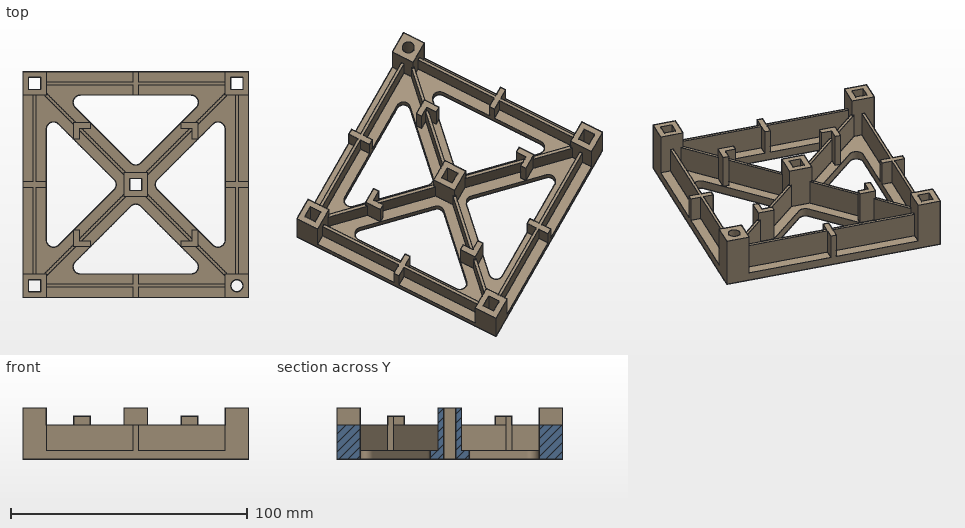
import cadquery as cq
import math

FRAME_SIDE = 95.5
TOTAL_HEIGHT = 21.75

BASE_THICKNESS = 3.75
RIM_WIDTH = 10.0
BEAM_WIDTH = 10.0
WINDOW_RADIUS = 3.0

POST_SIDE = RIM_WIDTH
SQUARE_BORE = 5.0
ROUND_BORE_DIAMETER = 5.0

RIB_THICKNESS = 1.25
RIB_TOP = 14.5
CROSS_RIB_WIDTH = 2.5

BRACKET_OUTER = 26.25
BRACKET_LEG = BEAM_WIDTH / math.sqrt(2)
BRACKET_THICKNESS = 2.5
BRACKET_TOP = 18.25

HALF_SIDE = FRAME_SIDE / 2
POST_OFFSET = HALF_SIDE - POST_SIDE / 2
QUARTER_TURNS = (0, 90, 180, 270)
DIAGONAL_ANGLE = 45


def block(size_x, size_y, bottom, top, center=(0, 0)):
    """Upright block between two heights, centred on a point of the plan."""
    return (
        cq.Workplane("XY", origin=(center[0], center[1], bottom))
        .rect(size_x, size_y)
        .extrude(top - bottom)
    )


def turned(shape, angle):
    """Shape turned about the vertical axis of the frame."""
    return shape.rotate((0, 0, 0), (0, 0, 1), angle)


def make_window():
    """Rounded triangular opening between the +Y rim and two diagonal beams."""
    apex = BEAM_WIDTH / math.sqrt(2)
    rim = HALF_SIDE - RIM_WIDTH
    half_width = rim - apex
    return (
        cq.Workplane("XY")
        .polyline([(0, apex), (half_width, rim), (-half_width, rim)])
        .close()
        .extrude(BASE_THICKNESS)
        .edges("|Z")
        .fillet(WINDOW_RADIUS)
    )


def make_side_ribs():
    """Long rib along the +Y rim and the cross rib at its middle."""
    center = (0, POST_OFFSET)
    long_rib = block(2 * POST_OFFSET, RIB_THICKNESS, BASE_THICKNESS, RIB_TOP, center)
    cross_rib = block(CROSS_RIB_WIDTH, RIM_WIDTH, BASE_THICKNESS, RIB_TOP, center)
    return long_rib.union(cross_rib)


def make_diagonal_rib():
    """Rib from the centre post to the (+X, +Y) corner post."""
    length = POST_OFFSET * math.sqrt(2)
    rib = block(length, RIB_THICKNESS, BASE_THICKNESS, RIB_TOP, (length / 2, 0))
    return turned(rib, DIAGONAL_ANGLE)


def make_bracket():
    """L-shaped bracket on the (+X, +Y) beam, its outer corner toward the corner post."""
    leg_center = BRACKET_OUTER - BRACKET_LEG / 2
    wall_center = BRACKET_OUTER - BRACKET_THICKNESS / 2
    leg_x = block(BRACKET_LEG, BRACKET_THICKNESS, BASE_THICKNESS, BRACKET_TOP, (leg_center, wall_center))
    leg_y = block(BRACKET_THICKNESS, BRACKET_LEG, BASE_THICKNESS, BRACKET_TOP, (wall_center, leg_center))
    return leg_x.union(leg_y)


def make_frame():
    """Base plate with its windows, ribs, brackets and posts, before boring."""
    frame = block(FRAME_SIDE, FRAME_SIDE, 0, BASE_THICKNESS)
    corner_post = block(POST_SIDE, POST_SIDE, 0, TOTAL_HEIGHT, (POST_OFFSET, POST_OFFSET))
    additions = (make_side_ribs(), make_diagonal_rib(), make_bracket(), corner_post)
    window = make_window()
    for angle in QUARTER_TURNS:
        frame = frame.cut(turned(window, angle))
        for addition in additions:
            frame = frame.union(turned(addition, angle))
    return frame.union(block(POST_SIDE, POST_SIDE, 0, TOTAL_HEIGHT))


def bore_posts(frame):
    """Square bores through four posts and a round bore through the (+X, -Y) post."""
    square_bore_centers = [
        (0, 0),
        (POST_OFFSET, POST_OFFSET),
        (-POST_OFFSET, POST_OFFSET),
        (-POST_OFFSET, -POST_OFFSET),
    ]
    for center in square_bore_centers:
        frame = frame.cut(block(SQUARE_BORE, SQUARE_BORE, 0, TOTAL_HEIGHT, center))
    round_bore = (
        cq.Workplane("XY")
        .center(POST_OFFSET, -POST_OFFSET)
        .circle(ROUND_BORE_DIAMETER / 2)
        .extrude(TOTAL_HEIGHT)
    )
    return frame.cut(round_bore)


result = bore_posts(make_frame())